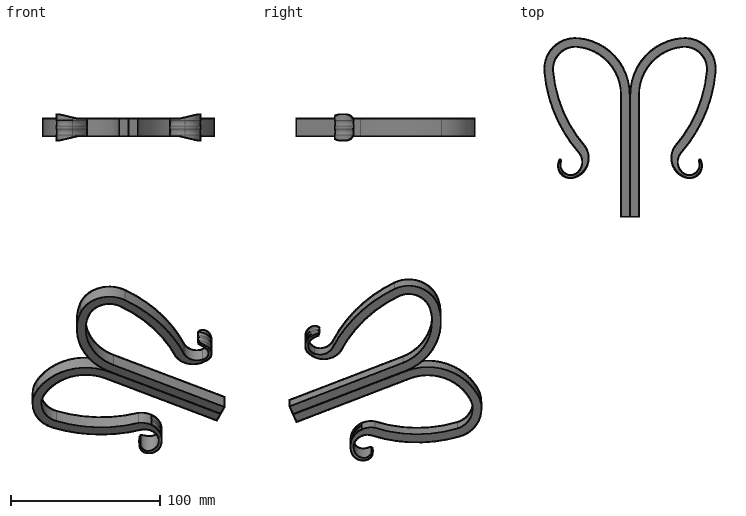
import cadquery as cq
import math

total_length = 120.0
body_gap = 0.2

arm_width = 6.0
arm_height = 12.0
crown_radius = 38.0
crown_turn = 85.0
shoulder_radius = 20.9
shoulder_turn = 100.0
flank_radius = 95.0
flank_turn = 36.1

hook_height = 17.8
hook_kink = 8.0
hook_outer_radius = 13.8
hook_outer_turn = 107.0
hook_outer_tip_radius = 8.4
hook_outer_tip_turn = 138.0
hook_inner_radius = 9.5
hook_inner_turn = 88.8
hook_inner_tip_radius = 6.8
hook_inner_tip_turn = 156.2
tip_round = 5.5

flare_start_x = -34.2
flare_end_x = -46.5

groove_radius = 5.4
groove_depth = 0.4
groove_spacing = 5.9
groove_start_turn = 38.0
groove_overrun = 5.0

crown_to_shoulder = crown_radius - shoulder_radius
loop_top = shoulder_radius + crown_to_shoulder * math.sin(math.radians(crown_turn))
bar_length = total_length - loop_top


def direction(angle):
    """Unit vector at an angle in degrees from +X."""
    return cq.Vector(math.cos(math.radians(angle)), math.sin(math.radians(angle)))


def arc_chain(start, heading, arcs):
    """Edges of consecutive tangent arcs, each (radius, turn); a positive turn is to the left."""
    edges = []
    for radius, turn in arcs:
        side = math.copysign(90.0, turn)
        center = start + direction(heading + side) * radius
        middle = center + direction(heading + turn / 2 - side) * radius
        end = center + direction(heading + turn - side) * radius
        edges.append(cq.Edge.makeThreePointArc(start, middle, end))
        start = end
        heading += turn
    return edges


def line(start, end):
    return cq.Edge.makeLine(start, end)


def extrude_outline(edges, height):
    """Prism centred on Z = 0 above and below a closed outline."""
    face = cq.Face.makeFromWires(cq.Wire.assembleEdges(edges))
    prism = cq.Solid.extrudeLinear(face, cq.Vector(0, 0, height))
    return cq.Workplane(prism).translate((0, 0, -height / 2))


outer_root = cq.Vector(-body_gap / 2, 0)
inner_root = outer_root - cq.Vector(arm_width, 0)
loop_turns = [(crown_radius, crown_turn), (shoulder_radius, shoulder_turn), (flank_radius, flank_turn)]
arm_outer = arc_chain(outer_root, 90.0, loop_turns)
arm_inner = arc_chain(inner_root, 90.0, [(radius - arm_width, turn) for radius, turn in loop_turns])

hook_heading = 90.0 + crown_turn + shoulder_turn + flank_turn
hook_outer_start = arm_inner[-1].endPoint()
hook_inner_start = arm_outer[-1].endPoint()
hook_outer = arc_chain(
    hook_outer_start,
    hook_heading - hook_kink,
    [(hook_outer_radius, -hook_outer_turn), (hook_outer_tip_radius, -hook_outer_tip_turn)],
)
hook_inner = arc_chain(
    hook_inner_start,
    hook_heading,
    [(hook_inner_radius, -hook_inner_turn), (hook_inner_tip_radius, -hook_inner_tip_turn)],
)


def make_bar():
    bar = cq.Workplane().box(arm_width, bar_length, arm_height)
    return bar.translate((inner_root.x + arm_width / 2, -bar_length / 2, 0))


def make_loop():
    ends = [line(inner_root, outer_root), line(hook_inner_start, hook_outer_start)]
    return extrude_outline(arm_outer + arm_inner + ends, arm_height)


def make_flare_envelope():
    """Height limit of the hook along X: level, sloping, then level at full height."""
    far_x = flare_end_x - arm_width
    upper = [(0, arm_height / 2), (flare_start_x, arm_height / 2), (flare_end_x, hook_height / 2),
             (far_x, hook_height / 2)]
    lower = [(x, -z) for x, z in reversed(upper)]
    return cq.Workplane("XZ").polyline(upper + lower).close().extrude(total_length)


def make_groove(z):
    """Round-bottomed groove swept parallel to the outer edge of the hook."""
    standoff = groove_radius - groove_depth
    first_heading = hook_heading - hook_kink - groove_start_turn
    center = hook_outer_start + direction(hook_heading - hook_kink - 90.0) * hook_outer_radius
    start = center + direction(first_heading + 90.0) * (hook_outer_radius + standoff)
    path = arc_chain(
        start,
        first_heading,
        [(hook_outer_radius + standoff, groove_start_turn - hook_outer_turn),
         (hook_outer_tip_radius + standoff, -hook_outer_tip_turn - groove_overrun)],
    )
    profile_plane = cq.Plane(start, xDir=(0, 0, 1), normal=direction(first_heading))
    profile = cq.Workplane(profile_plane).circle(groove_radius)
    groove = profile.sweep(cq.Workplane(cq.Wire.assembleEdges(path)))
    return groove.translate((0, 0, z))


def make_tip_rounding(tip_y):
    """Material outside the rounded upper and lower corners of the hook tip, cut along X."""
    round_start = tip_y - tip_round
    straight_height = hook_height - 2 * tip_round
    cut_width = hook_outer_tip_radius
    blank = cq.Workplane("YZ").center(tip_y, 0).rect(2 * tip_round, 2 * hook_height)
    blank = blank.extrude(cut_width)
    keep = (
        cq.Workplane("YZ")
        .moveTo(round_start, -hook_height / 2)
        .radiusArc((tip_y, -straight_height / 2), -tip_round)
        .lineTo(tip_y, straight_height / 2)
        .radiusArc((round_start, hook_height / 2), -tip_round)
        .close()
        .extrude(cut_width)
    )
    return blank.cut(keep).translate((flare_end_x - cut_width / 2, 0, 0))


def make_hook():
    tip_outer = hook_outer[-1].endPoint()
    tip_inner = hook_inner[-1].endPoint()
    ends = [line(hook_inner_start, hook_outer_start), line(tip_outer, tip_inner)]
    hook = extrude_outline(hook_outer + hook_inner + ends, hook_height)
    hook = hook.intersect(make_flare_envelope())
    hook = hook.cut(make_tip_rounding(tip_outer.y))
    for side in (-1, 1):
        hook = hook.cut(make_groove(side * groove_spacing / 2))
    return hook


def make_left_arm():
    return make_bar().union(make_loop()).union(make_hook())


left_arm = make_left_arm()
right_arm = left_arm.mirror("YZ")

result = cq.Compound.makeCompound([left_arm.val(), right_arm.val()])